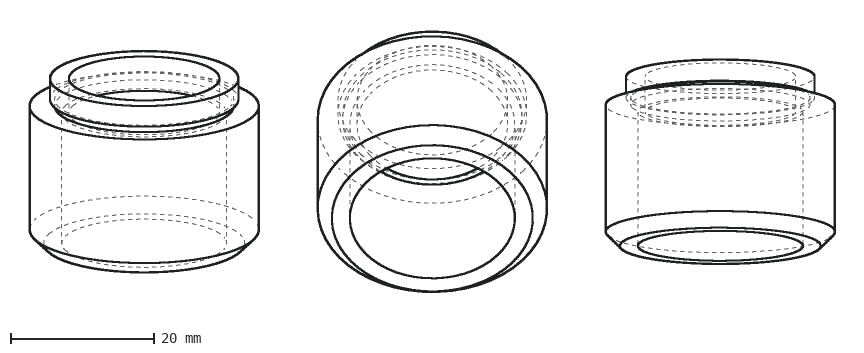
import cadquery as cq

body_diameter = 32.0
total_height = 24.0

body_height = 20.0
flange_height = 3.0
neck_height = total_height - body_height - flange_height
chamfer_size = 2.0

flange_diameter = 26.3
neck_diameter = 25.0

mouth_diameter = 21.0
bore_diameter = 23.0
mouth_depth = 5.0


def disc(diameter, bottom, height):
    """Solid cylinder on the Z axis, starting at the given height."""
    return cq.Workplane("XY").workplane(offset=bottom).circle(diameter / 2).extrude(height)


body = disc(body_diameter, 0, body_height)
body = body.faces("<Z").edges().chamfer(chamfer_size)

neck = disc(neck_diameter, body_height, neck_height)
flange = disc(flange_diameter, body_height + neck_height, flange_height)

mouth = disc(mouth_diameter, 0, total_height)
wide_bore = disc(bore_diameter, 0, total_height - mouth_depth)

result = body.union(neck).union(flange).cut(mouth).cut(wide_bore)